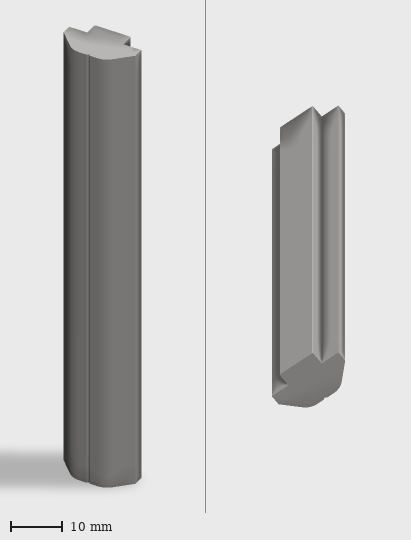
import cadquery as cq
import math

length = 100.0
flange_width = 16.0
total_depth = 9.5
stem_width = 8.0
stem_depth = 2.9
stem_corner_radius = 0.2
side_depth = 2.2
nose_radius = 3.8
groove_width = 0.8
groove_depth = 0.3
slope_angle = math.radians(45)

nose_y = stem_depth - total_depth
half_flange = flange_width / 2
half_stem = stem_width / 2
half_groove = groove_width / 2

nose_drop = -side_depth - nose_y
nose_corner_x = half_flange - nose_drop / math.tan(slope_angle)


def make_bar():
    """Extrude the T-shaped section and round its lengthwise edges."""
    section = (
        cq.Workplane("XY")
        .moveTo(-half_stem, stem_depth)
        .lineTo(half_stem, stem_depth)
        .lineTo(half_stem, 0)
        .lineTo(half_flange, 0)
        .lineTo(half_flange, -side_depth)
        .lineTo(nose_corner_x, nose_y)
        .lineTo(-nose_corner_x, nose_y)
        .lineTo(-half_flange, -side_depth)
        .lineTo(-half_flange, 0)
        .lineTo(-half_stem, 0)
        .close()
    )
    bar = section.extrude(length)
    bar = bar.faces("<Y").edges("|Z").fillet(nose_radius)
    return bar.faces(">Y").edges("|Z").fillet(stem_corner_radius)


def make_groove():
    """V-groove along the middle of the nose."""
    return (
        cq.Workplane("XY")
        .moveTo(-half_groove, nose_y)
        .lineTo(half_groove, nose_y)
        .lineTo(0, nose_y + groove_depth)
        .close()
        .extrude(length)
    )


result = make_bar().cut(make_groove())